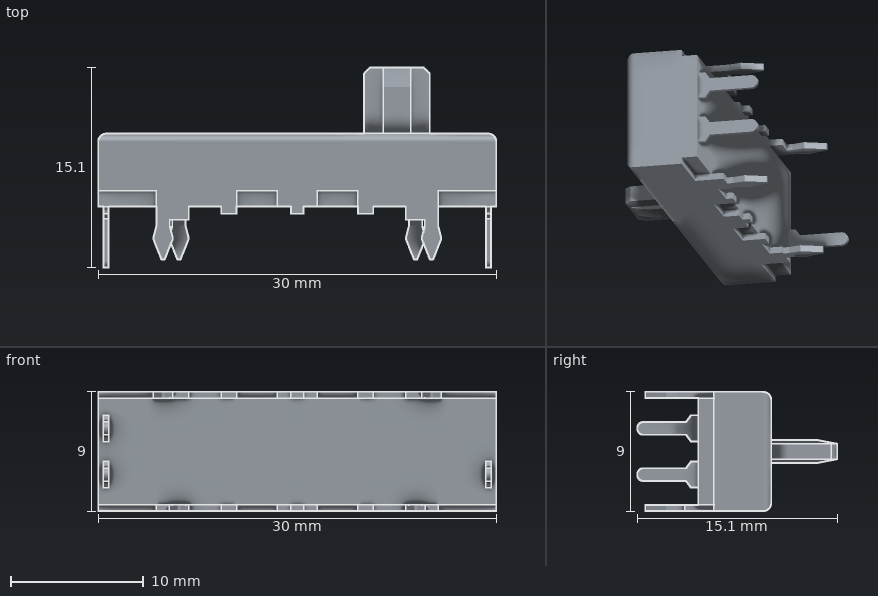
import cadquery as cq


LENGTH = 30.0
HEIGHT = 9.0
WALL = 0.48
SHELL_TOP = 5.52
SHELL_RIM = 1.2
TOP_FILLET = 0.63

MIDDLE_SKIRT_HALF = 1.5
MIDDLE_LUG_HALF = 0.48
SIDE_SKIRT_INNER = 4.55
SIDE_LUG_WIDTH = 1.17
SIDE_SKIRT_OUTER = 10.62
SHOULDER_INNER = 8.15
LUG_DEPTH = 0.55
SHOULDER_DEPTH = 1.0

PRONG_NECK_HALF = 0.5
PRONG_BARB_HALF = 0.75
PRONG_TIP_HALF = 0.12
PRONG_FILLET = 0.1
PRONG_NECK_DEPTH = 1.45
PRONG_BARB_DEPTH = 2.4
PRONG_TIP_DEPTH = 4.0
OUTER_PRONG_X = SIDE_SKIRT_OUTER - PRONG_NECK_HALF
INNER_PRONG_X = SHOULDER_INNER + PRONG_BARB_HALF

TERMINAL_X = 14.4
TERMINAL_Z = 1.75
TERMINAL_THICKNESS = 0.4
TERMINAL_ROOT_WIDTH = 1.98
TERMINAL_ROOT_LENGTH = 0.55
TERMINAL_TAPER_END = 0.9
TERMINAL_WIDTH = 1.0
TERMINAL_LENGTH = 4.6

LEVER_X = 7.5
LEVER_WIDTH = 4.98
LEVER_LENGTH = 4.98
LEVER_THICKNESS = 1.17
LEVER_CHAMFER = 0.48
RIB_WIDTH = 2.07
RIB_THICKNESS = 1.75
RIB_TAPER_LENGTH = 1.5

INNER_HEIGHT = HEIGHT - 2 * WALL


def block(x_range, y_range, z_range):
    """Box between the given limits on each axis."""
    sizes = [high - low for low, high in (x_range, y_range, z_range)]
    corner = (x_range[0], y_range[0], z_range[0])
    return cq.Workplane("XY").box(*sizes, centered=False).translate(corner)


def centred_block(length, y_range, height):
    """Box centred on the X and Z axes, between two heights on Y."""
    return block((-length / 2, length / 2), y_range, (-height / 2, height / 2))


def cavity():
    """Space inside the shell, which the base fills."""
    return centred_block(LENGTH - 2 * WALL, (0, SHELL_TOP - WALL), INNER_HEIGHT)


def prong(x, z_range):
    """Snap-in leg centred on x, with rounded corners at the barb and the tip."""
    right_side = [
        (PRONG_NECK_HALF, 0),
        (PRONG_NECK_HALF, -PRONG_NECK_DEPTH),
        (PRONG_BARB_HALF, -PRONG_BARB_DEPTH),
        (PRONG_TIP_HALF, -PRONG_TIP_DEPTH),
    ]
    left_side = [(-offset, y) for offset, y in reversed(right_side)]
    bottom, top = z_range
    leg = cq.Workplane("XY").polyline(right_side + left_side).close().extrude(top - bottom)
    barb_and_tip = cq.selectors.BoxSelector(
        (-PRONG_BARB_HALF - PRONG_FILLET, -PRONG_TIP_DEPTH - PRONG_FILLET, -HEIGHT),
        (PRONG_BARB_HALF + PRONG_FILLET, -PRONG_BARB_DEPTH + PRONG_FILLET, HEIGHT),
    )
    leg = leg.edges("|Z").edges(barb_and_tip).fillet(PRONG_FILLET)
    return leg.translate((x, 0, bottom))


def skirt(z_range, prong_x):
    """Everything that one long wall carries below the rim."""
    side_lug_outer = SIDE_SKIRT_INNER + SIDE_LUG_WIDTH
    middle_skirt = (-MIDDLE_SKIRT_HALF, MIDDLE_SKIRT_HALF)
    middle_lug = (-MIDDLE_LUG_HALF, MIDDLE_LUG_HALF)
    middle = block(middle_skirt, (0, SHELL_RIM), z_range)
    middle = middle.union(block(middle_lug, (-LUG_DEPTH, SHELL_RIM), z_range))

    side = block((SIDE_SKIRT_INNER, SIDE_SKIRT_OUTER), (0, SHELL_RIM), z_range)
    side = side.union(block((SIDE_SKIRT_INNER, side_lug_outer), (-LUG_DEPTH, SHELL_RIM), z_range))
    side = side.union(block((SHOULDER_INNER, SIDE_SKIRT_OUTER), (-SHOULDER_DEPTH, SHELL_RIM), z_range))
    side = side.union(prong(prong_x, z_range))
    return middle.union(side).union(side.mirror("YZ"))


def make_shell():
    """Five-sided shell with a rounded top edge and a skirt on both long walls."""
    shell = centred_block(LENGTH, (SHELL_RIM, SHELL_TOP), HEIGHT)
    shell = shell.faces(">Y").edges().fillet(TOP_FILLET)
    shell = shell.cut(cavity())
    shell = shell.union(skirt((INNER_HEIGHT / 2, HEIGHT / 2), OUTER_PRONG_X))
    return shell.union(skirt((-HEIGHT / 2, -INNER_HEIGHT / 2), INNER_PRONG_X))


def terminal(x, z):
    """Flat terminal with a wide root, a taper and a round tip."""
    root_half = TERMINAL_ROOT_WIDTH / 2
    blade_half = TERMINAL_WIDTH / 2
    arc_start = blade_half - TERMINAL_LENGTH
    blade = (
        cq.Workplane("YZ")
        .moveTo(0, root_half)
        .lineTo(-TERMINAL_ROOT_LENGTH, root_half)
        .lineTo(-TERMINAL_TAPER_END, blade_half)
        .lineTo(arc_start, blade_half)
        .threePointArc((-TERMINAL_LENGTH, 0), (arc_start, -blade_half))
        .lineTo(-TERMINAL_TAPER_END, -blade_half)
        .lineTo(-TERMINAL_ROOT_LENGTH, -root_half)
        .lineTo(0, -root_half)
        .close()
        .extrude(TERMINAL_THICKNESS / 2, both=True)
    )
    return blade.translate((x, 0, z))


def make_base():
    """Base that fills the shell, with a full-length flange under the rim and three terminals."""
    base = cavity().union(centred_block(LENGTH, (0, SHELL_RIM), INNER_HEIGHT))
    terminal_places = [
        (-TERMINAL_X, TERMINAL_Z),
        (-TERMINAL_X, -TERMINAL_Z),
        (TERMINAL_X, -TERMINAL_Z),
    ]
    for x, z in terminal_places:
        base = base.union(terminal(x, z))
    return base


def make_lever():
    """Chamfered blade that stands on the shell, with a tapered rib along both faces."""
    lever_end = SHELL_TOP + LEVER_LENGTH
    y_range = (SHELL_TOP, lever_end)
    blade = centred_block(LEVER_WIDTH, y_range, LEVER_THICKNESS)
    blade = blade.faces(">Y").edges("|Z").chamfer(LEVER_CHAMFER)

    taper_start = lever_end - RIB_TAPER_LENGTH
    upper_side = [
        (SHELL_TOP, RIB_THICKNESS / 2),
        (taper_start, RIB_THICKNESS / 2),
        (lever_end, LEVER_THICKNESS / 2),
    ]
    lower_side = [(y, -z) for y, z in reversed(upper_side)]
    rib = cq.Workplane("YZ").polyline(upper_side + lower_side).close().extrude(RIB_WIDTH / 2, both=True)
    return blade.union(rib).translate((LEVER_X, 0, 0))


shell = make_shell()
base = make_base()
lever = make_lever()

result = cq.Compound.makeCompound([shell.val(), base.val(), lever.val()])